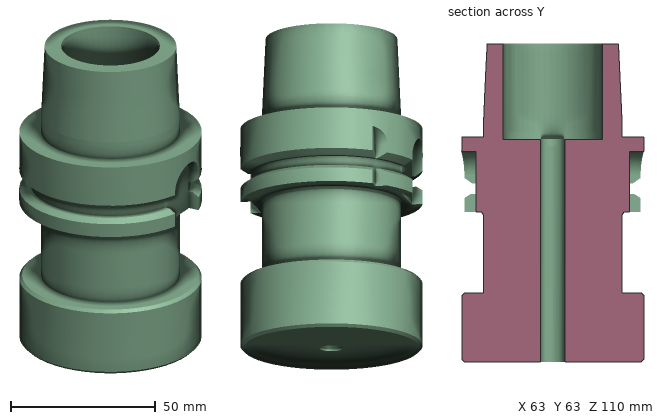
import cadquery as cq

total_height = 110.0
nut_height = 24.0
collar_bottom = 51.7
neck_cone_bottom = 50.7
ring_top = 56.5
groove_bottom = 58.0
groove_top = 61.6
flange_bevel_top = 63.5
flange_top = 77.9
taper_bottom = 84.0

flange_radius = 31.52
neck_radius = 24.0
neck_cone_radius = 24.6
groove_radius = 27.6
upper_lip_radius = 28.9
lower_lip_radius = 29.4
taper_top_radius = 22.8
nut_chamfer = 1.0

bore_radius = 17.0
bore_depth = 33.0
through_hole_radius = 4.1

slot_radius = 8.1
slot_top = 72.7
slot_floor = 26.6

notch_radius = 5.5
notch_top = 72.3
notch_inner_y = 20.1
notch_floor = 20.0

cut_reach = flange_radius + 1.1


def turned_body():
    """Nut, neck, grooved collar and taper as one revolved outline."""
    outline = [
        (0, 0),
        (flange_radius - nut_chamfer, 0),
        (flange_radius, nut_chamfer),
        (flange_radius, nut_height - nut_chamfer),
        (flange_radius - nut_chamfer, nut_height),
        (neck_radius, nut_height),
        (neck_radius, neck_cone_bottom),
        (neck_cone_radius, collar_bottom),
        (flange_radius, collar_bottom),
        (flange_radius, ring_top),
        (lower_lip_radius, groove_bottom),
        (groove_radius, groove_bottom),
        (groove_radius, groove_top),
        (upper_lip_radius, groove_top),
        (flange_radius, flange_bevel_top),
        (flange_radius, flange_top),
        (neck_radius, flange_top),
        (neck_radius, taper_bottom),
        (taper_top_radius, total_height),
        (0, total_height),
    ]
    return cq.Workplane("XZ").polyline(outline).close().revolve(360, (0, 0), (0, 1))


def round_topped_cutter(center_y, radius, top, floor):
    """Slot cutter open at the collar's lower face, reaching from x = -floor out in -X."""
    return (
        cq.Workplane("YZ", origin=(-cut_reach, 0, 0))
        .moveTo(center_y - radius, collar_bottom)
        .lineTo(center_y - radius, top - radius)
        .threePointArc((center_y, top), (center_y + radius, top - radius))
        .lineTo(center_y + radius, collar_bottom)
        .close()
        .extrude(cut_reach - floor)
    )


def stepped_bore():
    """Wide bore from the top followed by a narrow hole through the part."""
    wide = (
        cq.Workplane("XY", origin=(0, 0, total_height - bore_depth))
        .circle(bore_radius)
        .extrude(bore_depth)
    )
    narrow = cq.Workplane("XY").circle(through_hole_radius).extrude(total_height)
    return wide.union(narrow)


result = turned_body().cut(stepped_bore())

drive_slot = round_topped_cutter(0, slot_radius, slot_top, slot_floor)
for angle in (0, 180):
    result = result.cut(drive_slot.rotate((0, 0, 0), (0, 0, 1), angle))

notch_center_y = notch_inner_y + notch_radius
result = result.cut(round_topped_cutter(notch_center_y, notch_radius, notch_top, notch_floor))